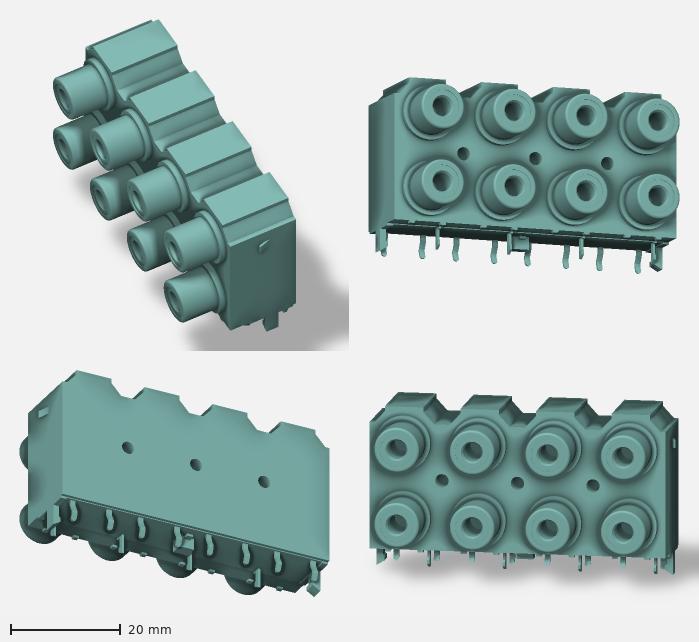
import cadquery as cq


body_width = 54.85
body_depth = 13.7
body_height = 26.5
jack_pitch = 14.0
column_count = 4
row_count = 2
lower_row_z = 6.0
hole_diameter = 2.45

shoulder_drop = 3.05
crest_wall = 0.9
crest_half_width = 3.55
crest_base_half_width = 5.55

flange_diameter = 10.0
flange_length = 1.15
barrel_diameter = 8.3
barrel_length = 7.0
barrel_rounding = 0.45
recess_diameter = 6.1
recess_depth = 0.15
bore_mouth_diameter = 4.05
bore_diameter = 3.45
bore_taper_length = 0.55

shelf_rear = 0.65
shelf_front = 9.7
shelf_drop = 0.15
skirt_drop = 0.45
key_width = 1.15
key_rear = 2.45
key_front = 7.15
key_drop = 0.65

leg_width = 1.15
leg_rear = 3.7
leg_front = 6.2
leg_drop = 4.5
leg_barb = 0.35
leg_barb_start = 2.55
leg_barb_full = 2.8
leg_barb_end = 3.6
peg_width = 3.0
peg_drop = 2.5

foot_inner_top = 2.4
foot_inner_bottom = 2.6
foot_outer = 3.5
foot_rear = 12.75

pin_offset = 3.75
pin_width = 1.0
pin_thickness = 0.45
pin_rear = 1.05
pin_kink_rear = 0.3
pin_tip_rear = 0.85
pin_bend_start = 1.2
pin_bend_radius = 1.1
pin_kink_start = 2.7
pin_kink_end = 3.1

prong_width = 0.45
prong_rear = 8.25
prong_front = 9.25
prong_barb_front = 9.6
prong_tip_front = 8.5
prong_root_front = 10.15
prong_barb_start = 2.25
prong_barb_full = 2.55
prong_barb_end = 3.35
prong_drop = 4.0

tang_rear = 5.45
tang_front = 7.9
tang_inner_start = 6.7
tang_reach = 0.85
tang_thickness = 0.4
tang_top_z = 20.9
tang_bottom_z = 19.45

overlap = 0.55

column_xs = [(i - (column_count - 1) / 2) * jack_pitch for i in range(column_count)]
row_zs = [lower_row_z + i * jack_pitch for i in range(row_count)]


def block(x_min, x_max, rear, front, z_min, z_max):
    """Box placed by its X range, its distances in front of the rear face and its Z range."""
    size = (x_max - x_min, front - rear, z_max - z_min)
    return cq.Workplane("XY").box(*size, centered=False).translate((x_min, -front, z_min))


def side_profile(points, width, x_center):
    """Extrude an outline of (distance from rear face, z) points along X."""
    outline = [(-distance, z) for distance, z in points]
    profile = cq.Workplane("YZ").polyline(outline).close()
    return profile.extrude(width / 2, both=True).translate((x_center, 0, 0))


def front_profile(points, rear, front):
    """Extrude an outline of (x, z) points between two distances from the rear face."""
    profile = cq.Workplane("XZ").polyline(points).close()
    return profile.extrude(front - rear).translate((0, -rear, 0))


def make_housing():
    shoulder_z = body_height - shoulder_drop
    half_width = body_width / 2
    points = [(half_width, 0), (-half_width, 0), (-half_width, shoulder_z)]
    for x in column_xs:
        points += [
            (x - crest_base_half_width, shoulder_z),
            (x - crest_half_width, body_height - crest_wall),
            (x - crest_half_width, body_height),
            (x + crest_half_width, body_height),
            (x + crest_half_width, body_height - crest_wall),
            (x + crest_base_half_width, shoulder_z),
        ]
    points.append((half_width, shoulder_z))
    return front_profile(points, 0, body_depth)


def make_hole_cutters():
    hole_z = sum(row_zs) / row_count
    centers = [((a + b) / 2, hole_z) for a, b in zip(column_xs, column_xs[1:])]
    return cq.Workplane("XZ").pushPoints(centers).circle(hole_diameter / 2).extrude(body_depth)


def make_jack():
    """Jack revolved about Z with its base at Z = 0, then turned to face -Y."""
    tip = flange_length + barrel_length
    recess_floor = tip - recess_depth
    barrel_radius = barrel_diameter / 2
    rounding_start = tip - barrel_rounding
    rounding_center_r = barrel_radius - barrel_rounding
    diagonal = barrel_rounding * 0.5 ** 0.5
    profile = (
        cq.Workplane("XZ")
        .moveTo(0, -overlap)
        .lineTo(flange_diameter / 2, -overlap)
        .lineTo(flange_diameter / 2, flange_length)
        .lineTo(barrel_radius, flange_length)
        .lineTo(barrel_radius, rounding_start)
        .threePointArc(
            (rounding_center_r + diagonal, rounding_start + diagonal),
            (rounding_center_r, tip),
        )
        .lineTo(recess_diameter / 2, tip)
        .lineTo(recess_diameter / 2, recess_floor)
        .lineTo(bore_mouth_diameter / 2, recess_floor)
        .lineTo(bore_diameter / 2, recess_floor - bore_taper_length)
        .lineTo(bore_diameter / 2, 0)
        .lineTo(0, 0)
        .close()
    )
    jack = profile.revolve(360, (0, 0, 0), (0, 1, 0))
    return jack.rotate((0, 0, 0), (1, 0, 0), 90).translate((0, -body_depth, 0))


def make_underside():
    half_width = body_width / 2
    shelf = block(-half_width, half_width, shelf_rear, shelf_front, -shelf_drop, overlap)
    key = block(-key_width / 2, key_width / 2, key_rear, key_front, -key_drop, overlap)
    peg = block(-peg_width / 2, peg_width / 2, leg_rear, leg_front, -peg_drop, overlap)
    return shelf.union(key).union(peg)


def make_end_leg():
    """Skirt and barbed snap leg at the -X end."""
    outer = -body_width / 2
    inner = outer + leg_width
    skirt = block(outer, inner, shelf_rear, shelf_front, -skirt_drop, overlap)
    leg_points = [
        (outer, overlap),
        (inner, overlap),
        (inner, -leg_barb_start),
        (inner + leg_barb, -leg_barb_full),
        (inner + leg_barb, -leg_barb_end),
        (outer, -leg_drop),
    ]
    return skirt.union(front_profile(leg_points, leg_rear, leg_front))


def make_foot():
    """Foot on the +X side of a jack column."""
    points = [
        (foot_inner_top - overlap, overlap),
        (foot_inner_top, 0),
        (foot_inner_bottom, -skirt_drop),
        (foot_outer, -skirt_drop),
        (foot_outer, overlap),
    ]
    return front_profile(points, foot_rear, body_depth)


def make_pin():
    """Kinked strip with a round tip, centered on X = 0."""
    rear_edge = [
        (pin_rear, overlap),
        (pin_rear, -pin_bend_start),
        (pin_kink_rear, -pin_kink_start),
        (pin_kink_rear, -pin_kink_end),
        (pin_tip_rear, -leg_drop),
    ]
    front_edge = [(distance + pin_thickness, z) for distance, z in reversed(rear_edge)]
    strip = side_profile(rear_edge + front_edge, pin_width, 0)
    bend_edges = cq.selectors.BoxSelector(
        (-pin_width, -shelf_front, -pin_bend_start - pin_thickness / 2),
        (pin_width, 0, -pin_bend_start + pin_thickness / 2),
    )
    strip = strip.edges(bend_edges).fillet(pin_bend_radius)
    radius = pin_width / 2
    tongue = (
        cq.Workplane("XZ")
        .moveTo(-radius, overlap)
        .lineTo(-radius, radius - leg_drop)
        .threePointArc((0, -leg_drop), (radius, radius - leg_drop))
        .lineTo(radius, overlap)
        .close()
        .extrude(shelf_front)
    )
    return strip.intersect(tongue)


def make_prong():
    """Barbed blade with a wider root, centered on X = 0."""
    points = [
        (prong_rear, overlap),
        (prong_root_front, overlap),
        (prong_root_front, -skirt_drop),
        (prong_front, -skirt_drop),
        (prong_front, -prong_barb_start),
        (prong_barb_front, -prong_barb_full),
        (prong_barb_front, -prong_barb_end),
        (prong_tip_front, -prong_drop),
        (prong_rear, -prong_drop),
    ]
    return side_profile(points, prong_width, 0)


def make_tang():
    """Thin strip bent outward from the +X end, rooted in the housing."""
    wall = body_width / 2
    outline = [
        (wall - overlap, -tang_rear),
        (wall, -tang_rear),
        (wall + tang_reach, -tang_front),
        (wall + tang_reach - tang_thickness, -tang_front),
        (wall, -tang_inner_start),
        (wall - overlap, -tang_inner_start),
    ]
    strip = cq.Workplane("XY").polyline(outline).close().extrude(tang_top_z - tang_bottom_z)
    return strip.translate((0, 0, tang_bottom_z))


result = make_housing().cut(make_hole_cutters()).union(make_underside()).union(make_tang())

end_leg = make_end_leg()
result = result.union(end_leg).union(end_leg.mirror("YZ"))

jack = make_jack()
foot = make_foot()
pin = make_pin()
prong = make_prong()

for x in column_xs:
    for z in row_zs:
        result = result.union(jack.translate((x, 0, z)))
    for column_foot in (foot, foot.mirror("YZ")):
        result = result.union(column_foot.translate((x, 0, 0)))
    for pin_x in (x - pin_offset, x + pin_offset):
        result = result.union(pin.translate((pin_x, 0, 0)))
    result = result.union(prong.translate((x + pin_offset, 0, 0)))